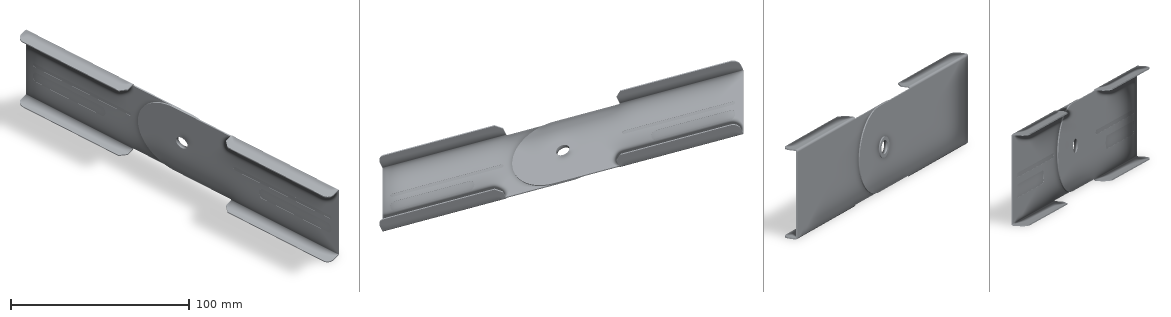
import cadquery as cq
import math

total_length = 216.0
total_height = 52.5
sheet = 0.75
flange_depth = 9.5
flange_length = 73.9
tongue_height = 50.1
tongue_overlap = 30.2
bend_radius = 1.3
inner_bend_radius = 0.2
corner_radius = 4.3
corner_chamfer = 3.7

slot_end_gap = 4.8
recess_depth = 0.1
narrow_slot_length = 67.5
narrow_slot_height = 2.5
narrow_slot_z = 1.0
wide_slot_length = 50.1
wide_slot_height = 7.5
wide_slot_z = -8.0
wide_slot_end_diameter = 9.5

bore_diameter = 8.0
shank_diameter = bore_diameter + 2 * sheet
rim_diameter = 12.0
rim_thickness = 0.75

half_length = total_length / 2
plate_back = 0.0
front_plate_back = plate_back - sheet


def cylinder_along_y(diameter, y_start, y_end):
    """Cylinder on the pivot axis between two Y positions."""
    return (
        cq.Workplane("XZ", origin=(0, y_end, 0))
        .circle(diameter / 2)
        .extrude(y_end - y_start)
    )


def channel_blank():
    """Solid envelope of the flanged stretch with its rear edges rounded."""
    return (
        cq.Workplane("XY")
        .box(flange_length, flange_depth, total_height, centered=(False, False, True))
        .translate((-half_length, -flange_depth, 0))
        .edges("|X and >Y").fillet(bend_radius)
        .edges("|Z and <X and <Y").fillet(corner_radius)
        .edges("|Z and >X and <Y").chamfer(corner_chamfer)
    )


def channel_space():
    """Space between the flanges, which leaves one sheet thickness of material."""
    return (
        cq.Workplane("XY")
        .box(flange_length, flange_depth, total_height - 2 * sheet, centered=(False, False, True))
        .translate((-half_length, -flange_depth - sheet, 0))
        .edges("|X and >Y").fillet(inner_bend_radius)
    )


def tongue():
    """Flat stretch that runs past the pivot axis and ends in a half circle."""
    end_radius = tongue_height / 2
    arc_start = tongue_overlap - end_radius
    flange_end = flange_length - half_length
    return (
        cq.Workplane("XZ")
        .moveTo(flange_end, -end_radius)
        .lineTo(arc_start, -end_radius)
        .threePointArc((tongue_overlap, 0), (arc_start, end_radius))
        .lineTo(flange_end, end_radius)
        .close()
        .extrude(sheet)
    )


def slot_recess(length, height, end_diameter, z):
    """Shallow recess in the front face of the plate, with an arc at each end."""
    end_radius = end_diameter / 2
    half_slot = height / 2
    arc_rise = end_radius - math.sqrt(end_radius**2 - half_slot**2)
    tip = length / 2
    shoulder = tip - arc_rise
    return (
        cq.Workplane("XZ", origin=(-half_length + slot_end_gap + tip, recess_depth - sheet, z))
        .moveTo(-shoulder, -half_slot)
        .lineTo(shoulder, -half_slot)
        .threePointArc((tip, 0), (shoulder, half_slot))
        .lineTo(-shoulder, half_slot)
        .threePointArc((-tip, 0), (-shoulder, -half_slot))
        .close()
        .extrude(recess_depth)
    )


def plate():
    """Left-hand plate without its pivot feature, back face at Y = 0."""
    return (
        channel_blank()
        .cut(channel_space())
        .union(tongue())
        .cut(slot_recess(narrow_slot_length, narrow_slot_height, narrow_slot_height, narrow_slot_z))
        .cut(slot_recess(wide_slot_length, wide_slot_height, wide_slot_end_diameter, wide_slot_z))
    )


def make_rear_plate():
    """Left plate, with a hole that fits the rivet shank."""
    return plate().cut(cylinder_along_y(shank_diameter, plate_back - sheet, plate_back))


def make_front_plate():
    """Right plate in front of the rear one, with the hollow rivet formed from its sheet."""
    rim_back = plate_back + rim_thickness
    front_face = front_plate_back - sheet
    return (
        plate()
        .mirror("YZ")
        .translate((0, front_plate_back, 0))
        .union(cylinder_along_y(shank_diameter, front_face, plate_back))
        .union(cylinder_along_y(rim_diameter, plate_back, rim_back))
        .cut(cylinder_along_y(bore_diameter, front_face, rim_back))
    )


rear_plate = make_rear_plate()
front_plate = make_front_plate()

result = cq.Compound.makeCompound([rear_plate.val(), front_plate.val()])